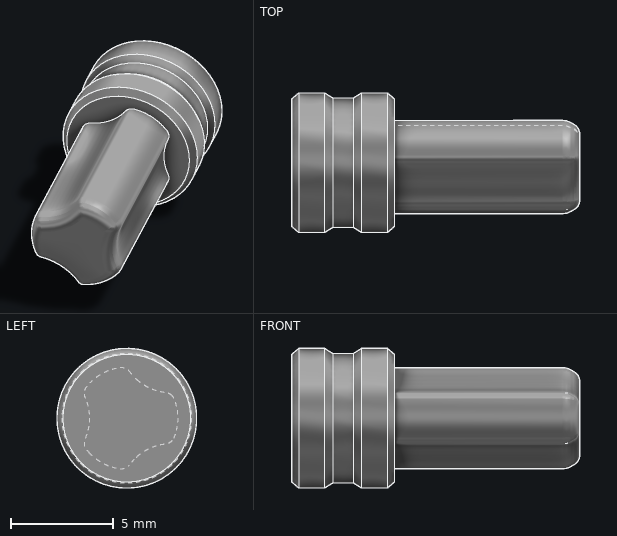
import cadquery as cq
import math

head_length = 5.0
head_radius = 3.4
head_chamfer_length = 0.35
head_chamfer_depth = 0.3
groove_floor_radius = 3.15
groove_floor_length = 1.0
groove_flank_length = 0.4

total_length = 14.0
lobe_count = 3
lobe_radius = 2.48
lobe_corner_radius = 0.5
flute_radius = 2.5
flute_floor_radius = 1.81
first_lobe_angle = 180.0

tip_chamfer_length = 0.63
tip_chamfer_angle = 30.0
tip_side_fillet = 0.76
tip_face_fillet = 0.54
edge_tolerance = 0.01


def polar(radius, degrees):
    """Return the (Y, Z) point at a radius and an angle around the X axis."""
    angle = math.radians(degrees)
    return radius * math.cos(angle), radius * math.sin(angle)


def make_head():
    """Chamfered cylinder with a trapezoidal groove around its middle."""
    middle = head_length / 2
    floor_start = middle - groove_floor_length / 2
    floor_end = middle + groove_floor_length / 2
    face_radius = head_radius - head_chamfer_depth
    profile = [
        (0, 0),
        (0, face_radius),
        (head_chamfer_length, head_radius),
        (floor_start - groove_flank_length, head_radius),
        (floor_start, groove_floor_radius),
        (floor_end, groove_floor_radius),
        (floor_end + groove_flank_length, head_radius),
        (head_length - head_chamfer_length, head_radius),
        (head_length, face_radius),
        (head_length, 0),
    ]
    return cq.Workplane("XY").polyline(profile).close().revolve(360, (0, 0, 0), (1, 0, 0))


def shank_outline():
    """Closed outline of lobe, corner, flute and corner arcs, all tangent to each other."""
    corner_distance = lobe_radius - lobe_corner_radius
    flute_distance = flute_floor_radius + flute_radius
    centre_gap = flute_radius + lobe_corner_radius
    cosine_numerator = corner_distance**2 + flute_distance**2 - centre_gap**2
    cosine = cosine_numerator / (2 * corner_distance * flute_distance)
    half_pitch = 180.0 / lobe_count
    lobe_half_angle = half_pitch - math.degrees(math.acos(cosine))

    def corner(corner_angle, flute_angle):
        """Return the lobe end, middle and flute end of one corner arc."""
        cy, cz = polar(corner_distance, corner_angle)
        fy, fz = polar(flute_distance, flute_angle)
        flute_end_angle = math.degrees(math.atan2(fz - cz, fy - cy))
        turn = (flute_end_angle - corner_angle + 180) % 360 - 180
        points = []
        for fraction in (0, 0.5, 1):
            dy, dz = polar(lobe_corner_radius, corner_angle + fraction * turn)
            points.append((cy + dy, cz + dz))
        return points

    outline = cq.Workplane("YZ").moveTo(*polar(lobe_radius, first_lobe_angle - lobe_half_angle))
    for index in range(lobe_count):
        lobe_angle = first_lobe_angle + index * 2 * half_pitch
        flute_angle = lobe_angle + half_pitch
        next_lobe_angle = flute_angle + half_pitch
        leaving = corner(lobe_angle + lobe_half_angle, flute_angle)
        entering = corner(next_lobe_angle - lobe_half_angle, flute_angle)
        outline = outline.threePointArc(polar(lobe_radius, lobe_angle), leaving[0])
        outline = outline.threePointArc(leaving[1], leaving[2])
        outline = outline.threePointArc(polar(flute_floor_radius, flute_angle), entering[2])
        outline = outline.threePointArc(entering[1], entering[0])
    return outline.close()


def round_tip(shank):
    """Chamfer the free end of the shank, then blend the chamfer into the end face and the side."""
    chamfer_depth = tip_chamfer_length * math.tan(math.radians(tip_chamfer_angle))
    side_edge_x = total_length - tip_chamfer_length
    side_edge_box = cq.selectors.BoxSelector(
        (side_edge_x - edge_tolerance, -head_radius, -head_radius),
        (side_edge_x + edge_tolerance, head_radius, head_radius),
    )
    tip = shank.faces(">X").edges().chamfer(tip_chamfer_length, chamfer_depth)
    tip = tip.faces(">X").edges().fillet(tip_face_fillet)
    return tip.edges(side_edge_box).fillet(tip_side_fillet)


def make_shank():
    """Lobed bar with a rounded tip; it starts at the outer head face and runs through the head."""
    return round_tip(shank_outline().extrude(total_length))


result = make_head().union(make_shank())